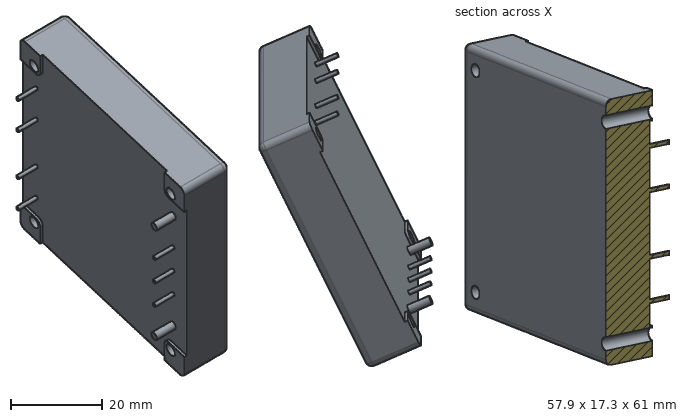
import cadquery as cq

case_width = 57.9
case_height = 61.0
case_depth = 12.7
corner_radius = 1.5
back_edge_radius = 1.5

pad_size = 7.0
pad_step = 0.7
pad_corner_radius = 1.5

hole_spacing_x = 48.3
hole_spacing_z = 50.8
hole_diameter = 3.0

overall_depth = 17.3
pin_projection = overall_depth - case_depth
small_pin_diameter = 1.0
large_pin_diameter = 2.0
pin_row_x = hole_spacing_x / 2
outer_pin_z = 17.78
inner_pin_z = 7.62

left_pin_heights = [-outer_pin_z, -inner_pin_z, inner_pin_z, outer_pin_z]
right_small_pin_heights = [-inner_pin_z, 0, inner_pin_z]
right_large_pin_heights = [-outer_pin_z, outer_pin_z]


def xz_plane(y):
    """Work plane parallel to XZ at the given Y, with its normal towards -Y."""
    return cq.Workplane("XZ", origin=(0, y, 0))


def make_case():
    """Block the full depth of the case, rounded at corners and back edge."""
    block = xz_plane(case_depth).rect(case_width, case_height).extrude(case_depth)
    block = block.edges("|Y").fillet(corner_radius)
    return block.faces(">Y").edges().fillet(back_edge_radius)


def make_recess():
    """Cross-shaped shallow cut that leaves the four corner pads standing."""
    recess = xz_plane(pad_step).rect(case_width, case_height).extrude(pad_step)
    pad_spacing_x = case_width - pad_size
    pad_spacing_z = case_height - pad_size
    pads = (
        xz_plane(pad_step)
        .rect(pad_spacing_x, pad_spacing_z, forConstruction=True)
        .vertices()
        .rect(pad_size, pad_size)
        .extrude(pad_step)
    )
    inner_half_x = case_width / 2 - pad_size
    inner_half_z = case_height / 2 - pad_size
    inner_corners = cq.selectors.BoxSelector(
        (-inner_half_x - pad_corner_radius, -pad_step, -inner_half_z - pad_corner_radius),
        (inner_half_x + pad_corner_radius, 2 * pad_step, inner_half_z + pad_corner_radius),
    )
    pads = pads.edges("|Y").edges(inner_corners).fillet(pad_corner_radius)
    return recess.cut(pads)


def make_mounting_holes():
    """Four cylinders running the full depth of the case."""
    return (
        xz_plane(case_depth)
        .rect(hole_spacing_x, hole_spacing_z, forConstruction=True)
        .vertices()
        .circle(hole_diameter / 2)
        .extrude(case_depth)
    )


def make_pins(x, heights, diameter):
    """Column of round pins rising from the recessed face."""
    return (
        xz_plane(pad_step)
        .pushPoints([(x, z) for z in heights])
        .circle(diameter / 2)
        .extrude(pad_step + pin_projection)
    )


result = make_case().cut(make_recess()).cut(make_mounting_holes())
result = result.union(make_pins(-pin_row_x, left_pin_heights, small_pin_diameter))
result = result.union(make_pins(pin_row_x, right_small_pin_heights, small_pin_diameter))
result = result.union(make_pins(pin_row_x, right_large_pin_heights, large_pin_diameter))